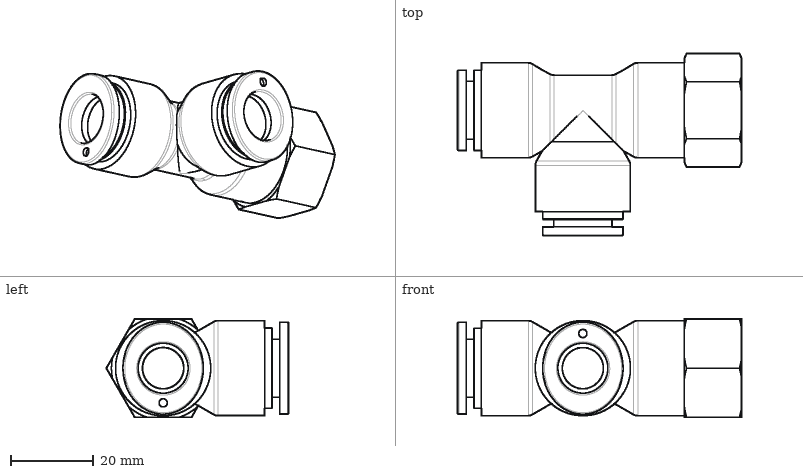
import cadquery as cq
import math

port_reach = 30.6
nut_end = 38.7

arm_dia = 23.2
neck_dia = 17.2
shoulder_start = 7.6
flare_angle = 30.0
shoulder_round = 2.0
bore_dia = 10.0
socket_dia = 12.2

ring_dia = 19.6
ring_bore_dia = 12.18
ring_length = 1.9
ring_edge_chamfer = 0.2

collar_bore_dia = 12.2
collar_neck_dia = 14.2
collar_length = 4.0
flange_thickness = 2.2
flange_width = 19.6
flange_height = 22.4
collar_edge_round = 0.4
dot_dia = 2.0
dot_depth = 1.0
dot_offset = 8.45

nut_across_flats = 24.0
nut_face_dia = 25.2
nut_chamfer_length = 0.55

ring_seat = port_reach - collar_length
arm_length = ring_seat - ring_length
shoulder_end = shoulder_start + (arm_dia - neck_dia) / 2 / math.tan(math.radians(flare_angle))
socket_depth = arm_length - shoulder_end
nut_length = nut_end - arm_length
nut_across_corners = nut_across_flats / math.cos(math.radians(30))

run_port = cq.Location(cq.Plane((0, 0, 0), xDir=(0, 0, -1), normal=(-1, 0, 0)))
branch_port = cq.Location(cq.Plane((0, 0, 0), xDir=(0, 0, 1), normal=(0, -1, 0)))
nut_port = cq.Location(cq.Plane((0, 0, 0), xDir=(0, 0, -1), normal=(1, 0, 0)))
tube_ports = [run_port, branch_port]


def disc(diameter, start, length):
    """Cylinder on the local Z axis."""
    return cq.Workplane("XY").workplane(offset=start).circle(diameter / 2).extrude(length)


def tee_arm():
    """Solid arm flaring from the neck to the full diameter, with a rounded shoulder."""
    profile = [
        (0, 0),
        (neck_dia / 2, 0),
        (neck_dia / 2, shoulder_start),
        (arm_dia / 2, shoulder_end),
        (arm_dia / 2, arm_length),
        (0, arm_length),
    ]
    arm = cq.Workplane("XZ").polyline(profile).close().revolve(360, (0, 0), (0, 1))
    return arm.edges("%CIRCLE").edges(">>Z[-2]").fillet(shoulder_round)


def run_arm():
    """Arm of the straight run, whose neck also blends into the flare."""
    return tee_arm().edges("%CIRCLE").edges(">>Z[1]").fillet(shoulder_round)


def make_tee():
    tee = cq.Workplane(run_arm().val().moved(run_port))
    tee = tee.union(cq.Workplane(run_arm().val().moved(nut_port)))
    tee = tee.union(cq.Workplane(tee_arm().val().moved(branch_port)))
    for port in tube_ports + [nut_port]:
        bore = disc(bore_dia, 0, arm_length)
        tee = tee.cut(cq.Workplane(bore.val().moved(port)))
    for port in tube_ports:
        socket = disc(socket_dia, shoulder_end, socket_depth)
        tee = tee.cut(cq.Workplane(socket.val().moved(port)))
    return tee


def make_guide_ring():
    """Plain ring seated between the arm's end face and the collar."""
    ring = disc(ring_dia, arm_length, ring_length)
    ring = ring.faces(">Z").chamfer(ring_edge_chamfer)
    return ring.cut(disc(ring_bore_dia, arm_length, ring_length))


def make_release_collar():
    """Oval push flange on a short round neck, with a shallow dot in its face."""
    flange = (
        cq.Workplane("XY")
        .workplane(offset=port_reach - flange_thickness)
        .ellipse(flange_height / 2, flange_width / 2)
        .extrude(flange_thickness)
    )
    collar = flange.union(disc(collar_neck_dia, ring_seat, collar_length))
    collar = collar.cut(disc(collar_bore_dia, ring_seat, collar_length))
    collar = collar.faces(">Z").edges().fillet(collar_edge_round)
    dot = disc(dot_dia, port_reach - dot_depth, dot_depth).translate((dot_offset, 0, 0))
    return collar.cut(dot)


def make_nut():
    """Hexagon with flats facing up and down, corners chamfered at both ends."""
    hexagon = (
        cq.Workplane("XY")
        .workplane(offset=arm_length)
        .transformed(rotate=(0, 0, 90))
        .polygon(6, nut_across_corners)
        .extrude(nut_length)
    )
    chamfer_cone = [
        (0, arm_length),
        (nut_face_dia / 2, arm_length),
        (nut_across_corners / 2, arm_length + nut_chamfer_length),
        (nut_across_corners / 2, nut_end - nut_chamfer_length),
        (nut_face_dia / 2, nut_end),
        (0, nut_end),
    ]
    envelope = cq.Workplane("XZ").polyline(chamfer_cone).close().revolve(360, (0, 0), (0, 1))
    nut = hexagon.intersect(envelope).cut(disc(bore_dia, arm_length, nut_length))
    return cq.Workplane(nut.val().moved(nut_port))


tee = make_tee().solids()
nut = make_nut().solids()
guide_rings = [make_guide_ring().solids().val().moved(port) for port in tube_ports]
release_collars = [make_release_collar().solids().val().moved(port) for port in tube_ports]

result = cq.Compound.makeCompound([tee.val(), nut.val(), *guide_rings, *release_collars])